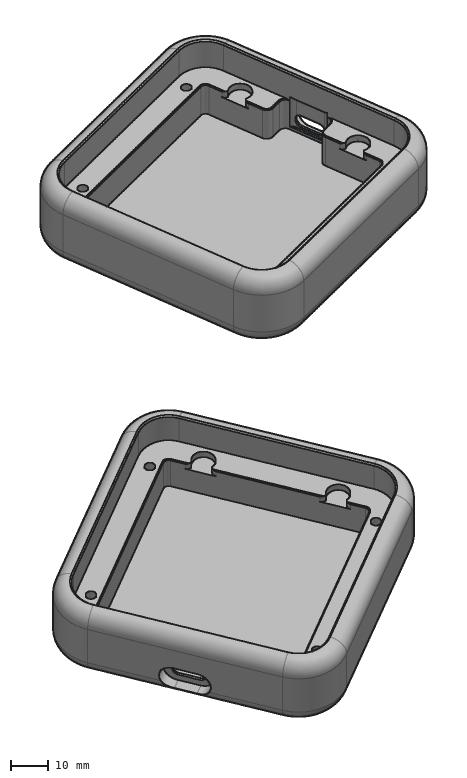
import math

import cadquery as cq

outer_side = 82.1
body_height = 23.0
corner_radius = 13.55
edge_radius = 5.0

wall = 5.0
rim_chamfer = 0.45
cavity_side = outer_side - 2 * wall
cavity_corner_radius = corner_radius - wall
cavity_depth = 9.5
ledge_z = body_height - cavity_depth

pocket_side = 58.0
pocket_corner_radius = 1.5
floor_z = 3.1
ledge_chamfer = 0.3

notch_width = 16.3
notch_fillet = 2.0

relief_offset_x = 19.0
relief_diameter = 6.6
relief_centre_y = 31.5
relief_neck_width = 5.6
relief_mouth_fillet = 1.5
relief_depth = 2.2

screw_diameter = 2.9
screw_x = 31.9
screw_y = 24.86

recess_width = 13.0
recess_depth = 0.7
recess_back_y = cavity_side / 2 + recess_depth
recess_corner_radius = 2.0
recess_top_z = ledge_z + 1.0
recess_bottom_z = floor_z + 1.0

port_z = 6.85
port_width = 9.7
port_height = 4.0
port_lip = 0.7
plug_width = 14.6
plug_height = 8.2


def rounded_square(side, radius, bottom_z, top_z):
    return (
        cq.Workplane("XY")
        .workplane(offset=bottom_z)
        .rect(side, side)
        .extrude(top_z - bottom_z)
        .edges("|Z")
        .fillet(radius)
    )


def edge_flare(opening, size, top_z):
    """Cutter that chamfers the mouth of a prismatic opening whose top lies at top_z."""
    flare = (
        opening.faces(">Z")
        .wires()
        .toPending()
        .offset2D(size)
        .extrude(2 * size, combine=False)
        .faces("<Z")
        .edges()
        .chamfer(size)
    )
    drop = flare.val().BoundingBox().zmin - (top_z - size)
    return flare.translate((0, 0, -drop))


def make_body():
    body = rounded_square(outer_side, corner_radius, 0, body_height)
    return body.faces("<Z or >Z").edges().fillet(edge_radius)


def make_cavity():
    cavity = rounded_square(cavity_side, cavity_corner_radius, ledge_z, body_height)
    return cavity.union(edge_flare(cavity, rim_chamfer, body_height))


def make_pocket():
    """Square pocket with its notch, rounded at the notch corners and chamfered at the ledge."""
    pocket = rounded_square(pocket_side, pocket_corner_radius, floor_z, ledge_z)
    notch_end = cavity_side / 2
    notch = (
        cq.Workplane("XY")
        .workplane(offset=floor_z)
        .center(0, notch_end / 2)
        .rect(notch_width, notch_end)
        .extrude(ledge_z - floor_z)
    )
    reach_x = notch_width / 2 + notch_fillet
    notch_corners = cq.selectors.BoxSelector(
        (-reach_x, pocket_side / 2 - notch_fillet, 0),
        (reach_x, notch_end + notch_fillet, body_height),
    )
    pocket = pocket.union(notch).edges("|Z").edges(notch_corners).fillet(notch_fillet)
    within_cavity = rounded_square(cavity_side, cavity_corner_radius, 0, body_height)
    flare = edge_flare(pocket, ledge_chamfer, ledge_z).intersect(within_cavity)
    return pocket.union(flare)


def make_relief():
    """Relief with a round end, a narrower neck and a flared mouth on the +Y pocket wall."""
    bottom = cq.Workplane("XY").workplane(offset=ledge_z - relief_depth)
    round_end = bottom.center(0, relief_centre_y).circle(relief_diameter / 2).extrude(relief_depth)
    mouth_y = pocket_side / 2
    half_neck = relief_neck_width / 2
    half_mouth = half_neck + relief_mouth_fillet
    flare_y = mouth_y + relief_mouth_fillet
    bend = relief_mouth_fillet * (1 - math.sqrt(0.5))
    neck = (
        bottom.moveTo(-half_neck, relief_centre_y)
        .lineTo(-half_neck, flare_y)
        .threePointArc((-half_neck - bend, mouth_y + bend), (-half_mouth, mouth_y))
        .lineTo(half_mouth, mouth_y)
        .threePointArc((half_neck + bend, mouth_y + bend), (half_neck, flare_y))
        .lineTo(half_neck, relief_centre_y)
        .close()
        .extrude(relief_depth)
    )
    return round_end.union(neck)


def make_recess():
    """Shallow wall recess, cut by a round-cornered block reaching back into the notch."""
    length = 2 * recess_corner_radius
    return (
        cq.Workplane("XY")
        .workplane(offset=recess_bottom_z)
        .center(0, recess_back_y - length / 2)
        .rect(recess_width, length)
        .extrude(recess_top_z - recess_bottom_z)
        .edges("|Z and >Y")
        .fillet(recess_corner_radius)
    )


def make_wall_slot(width, height, start_y):
    """Round-ended slot running from start_y out through the +Y face."""
    return (
        cq.Workplane("XZ", origin=(0, start_y, port_z))
        .slot2D(width, height)
        .extrude(-(outer_side / 2 - start_y))
    )


def make_screw_holes():
    return (
        cq.Workplane("XY")
        .rect(2 * screw_x, 2 * screw_y, forConstruction=True)
        .vertices()
        .circle(screw_diameter / 2)
        .extrude(body_height)
    )


result = make_body()
result = result.cut(make_cavity())
result = result.cut(make_pocket())

relief = make_relief()
for relief_x in (-relief_offset_x, relief_offset_x):
    result = result.cut(relief.translate((relief_x, 0, 0)))
    result = result.cut(relief.mirror("XZ").translate((relief_x, 0, 0)))

result = result.cut(make_recess())
result = result.cut(make_wall_slot(port_width, port_height, recess_back_y))
result = result.cut(make_wall_slot(plug_width, plug_height, recess_back_y + port_lip))

result = result.cut(make_screw_holes())